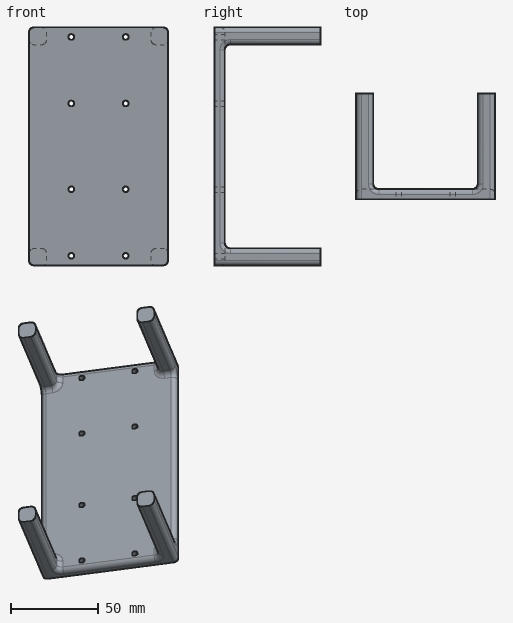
import cadquery as cq

width = 80.0
depth = 61.0
height = 136.9

plate_thickness = 6.0
leg_size = 10.0
edge_radius = 3.0

hole_diameter = 3.1
hole_x = 15.6
outer_hole_z = 62.9
inner_hole_z = 24.6


def block(size_x, size_z, y_start):
    """Box centred in X and Z that reaches from y_start to the leg tips."""
    box = cq.Workplane("XY").box(size_x, depth - y_start, size_z, centered=(True, False, True))
    return box.translate((0, y_start, 0))


def plate_with_legs():
    """Plate and four legs, left after cutting two crossing windows open towards +Y."""
    across_z = block(width - 2 * leg_size, height, plate_thickness)
    across_x = block(width, height - 2 * leg_size, plate_thickness)
    return block(width, height, 0).cut(across_z).cut(across_x)


def round_long_edges(frame):
    """Round the outer and the inward-facing long edge of every leg."""
    outer_edges = frame.edges("|Y and (<X or >X) and (<Z or >Z)")
    frame = outer_edges.fillet(edge_radius)
    for x in (-1, 1):
        for z in (-1, 1):
            inner_corner = (
                x * (width / 2 - leg_size),
                (plate_thickness + depth) / 2,
                z * (height / 2 - leg_size),
            )
            frame = frame.edges(cq.NearestToPointSelector(inner_corner)).fillet(edge_radius)
    return frame


def round_leg_roots(frame):
    """Blend each leg into the plate along the tangent chain around its root."""
    for x in (-1, 1):
        for z in (-1, 1):
            root = (x * (width / 2 - leg_size), plate_thickness, z * (height - leg_size) / 2)
            frame = frame.edges(cq.NearestToPointSelector(root)).fillet(edge_radius)
    return frame


def round_window_rims(frame):
    """Round each window edge on the four outer sides, from leg tip to leg tip."""
    rim_midpoints = [
        (-width / 2, plate_thickness, 0),
        (width / 2, plate_thickness, 0),
        (0, plate_thickness, -height / 2),
        (0, plate_thickness, height / 2),
    ]
    for midpoint in rim_midpoints:
        frame = frame.edges(cq.NearestToPointSelector(midpoint)).fillet(edge_radius)
    return frame


def mounting_holes():
    """Cutters for two columns of four holes through the plate."""
    centres = [
        (x, z)
        for x in (-hole_x, hole_x)
        for z in (-outer_hole_z, -inner_hole_z, inner_hole_z, outer_hole_z)
    ]
    holes = cq.Workplane("XZ").pushPoints(centres).circle(hole_diameter / 2)
    return holes.extrude(-plate_thickness)


frame = round_long_edges(plate_with_legs())
frame = round_leg_roots(frame)
frame = round_window_rims(frame)
result = frame.cut(mounting_holes())